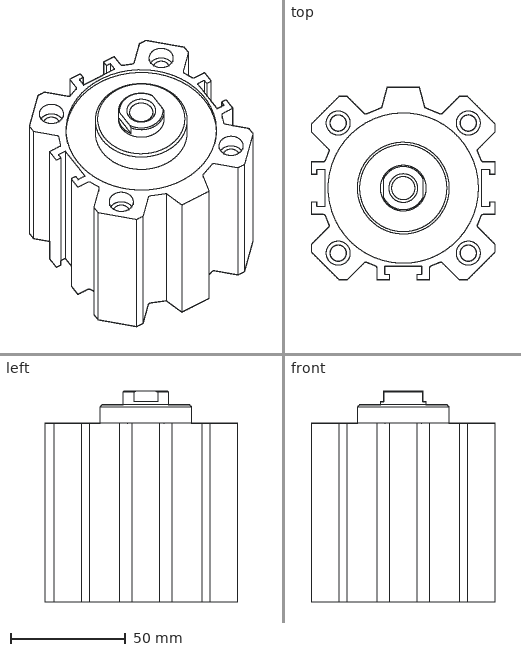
import cadquery as cq
import math

BODY_HEIGHT = 78.0
COLLAR_TOP = 86.0
ROD_TOP = 92.0

HALF_WIDTH = 40.0
LUG_WIDTH = 22.0
LUG_ACROSS_FLATS = 96.05
WEB_ACROSS_FLATS = 72.0
WEB_ANGLE = math.radians(22.5)
WEB_FILLET = 1.0

RAIL_OUTER_WIDTH = 23.0
SLOT_WIDTH = 16.0
SLOT_MOUTH_WIDTH = 12.0
SLOT_FLOOR = 34.1
LIP_THICKNESS = 2.4
RAIL_FILLET = 0.2

SLOTTED_QUARTERS = (1, 2, 3)

BOSS_REACH = 44.0
BOSS_FACE_WIDTH = 14.1
BOSS_TAPER = math.radians(15)

HOLE_SPACING = 56.7
HOLE_DIAMETER = 7.0
COUNTERBORE_DIAMETER = 10.5
COUNTERBORE_DEPTH = 7.0

RECESS_DIAMETER = 65.5
RECESS_DEPTH = 2.0
COLLAR_DIAMETER = 40.0
COLLAR_CHAMFER = 1.0

ROD_DIAMETER = 20.0
ROD_BOTTOM = 10.0
ROD_CHAMFER = 0.55
FLAT_BOTTOM = 87.3
ACROSS_FLATS = 17.0
ROD_HOLE_DIAMETER = 10.1
ROD_HOLE_DEPTH = 20.0
ROD_HOLE_CHAMFER = 1.2


def web_distance(offset):
    """Distance from the centre line to a sloping web face, at an offset along the side."""
    return (WEB_ACROSS_FLATS / 2 - offset * math.sin(WEB_ANGLE)) / math.cos(WEB_ANGLE)


def mirrored(half):
    """Complete a side outline, given as (offset, distance) from its left end to its middle."""
    return half + [(-offset, distance) for offset, distance in reversed(half)]


def lug_corner():
    """Half of a lug, from the middle of its outer face to the foot where it meets the web."""
    flank = LUG_WIDTH / math.sqrt(2)
    outer_sum = LUG_ACROSS_FLATS / math.sqrt(2)
    web_sum = math.cos(WEB_ANGLE) + math.sin(WEB_ANGLE)
    foot = (WEB_ACROSS_FLATS / 2 - flank * math.cos(WEB_ANGLE)) / web_sum
    return [
        (-(outer_sum - HALF_WIDTH), HALF_WIDTH),
        (-(HALF_WIDTH - flank), HALF_WIDTH),
        (-foot, foot + flank),
    ]


def slotted_side():
    """Outline of a side with a T-slot, as (offset, distance) points."""
    rail = RAIL_OUTER_WIDTH / 2
    slot = SLOT_WIDTH / 2
    mouth = SLOT_MOUTH_WIDTH / 2
    lip = HALF_WIDTH - LIP_THICKNESS
    return mirrored(lug_corner() + [
        (-rail, web_distance(rail)),
        (-rail, HALF_WIDTH),
        (-mouth, HALF_WIDTH),
        (-mouth, lip),
        (-slot, lip),
        (-slot, SLOT_FLOOR),
    ])


def boss_side():
    """Outline of the side with the tapered boss, as (offset, distance) points."""
    face = BOSS_FACE_WIDTH / 2
    taper = math.tan(BOSS_TAPER)
    rise = BOSS_REACH - web_distance(face)
    root = face + taper * rise / (1 - taper * math.tan(WEB_ANGLE))
    return mirrored(lug_corner() + [
        (-root, web_distance(root)),
        (-face, BOSS_REACH),
    ])


def turned(points, quarter):
    """Place (offset, distance) points on the +Y side turned clockwise by quarter turns."""
    angle = -quarter * math.pi / 2
    cosine = math.cos(angle)
    sine = math.sin(angle)
    return [(u * cosine - v * sine, u * sine + v * cosine) for u, v in points]


def housing_outline():
    """Clockwise outline of the housing: the +Y boss side, then the slotted sides."""
    points = turned(boss_side(), 0)
    for quarter in SLOTTED_QUARTERS:
        points += turned(slotted_side(), quarter)
    return points


def web_corners():
    """Plan positions where the sloping webs meet the lugs and the rails."""
    foot, foot_distance = lug_corner()[-1]
    rail = -RAIL_OUTER_WIDTH / 2
    rail_distance = web_distance(-rail)
    lug_feet = [p for q in range(4) for p in turned(mirrored([(foot, foot_distance)]), q)]
    rail_feet = [p for q in SLOTTED_QUARTERS for p in turned(mirrored([(rail, rail_distance)]), q)]
    return lug_feet + rail_feet


def rail_edges():
    """Plan positions of the two outer edges of every hooked rail."""
    half = [(-RAIL_OUTER_WIDTH / 2, HALF_WIDTH), (-SLOT_MOUTH_WIDTH / 2, HALF_WIDTH)]
    return [p for q in SLOTTED_QUARTERS for p in turned(mirrored(half), q)]


def make_housing():
    body = cq.Workplane("XY").polyline(housing_outline()).close().extrude(BODY_HEIGHT)

    for x, y in web_corners():
        corner = cq.selectors.NearestToPointSelector((x, y, BODY_HEIGHT / 2))
        body = body.edges("|Z").edges(corner).fillet(WEB_FILLET)

    for x, y in rail_edges():
        edge = cq.selectors.NearestToPointSelector((x, y, BODY_HEIGHT / 2))
        body = body.edges("|Z").edges(edge).fillet(RAIL_FILLET)

    body = (
        body.faces(">Z").workplane(origin=(0, 0, 0))
        .rect(HOLE_SPACING, HOLE_SPACING, forConstruction=True).vertices()
        .cboreHole(HOLE_DIAMETER, COUNTERBORE_DIAMETER, COUNTERBORE_DEPTH)
    )

    recess_floor = BODY_HEIGHT - RECESS_DEPTH
    recess = (
        cq.Workplane("XY").workplane(offset=recess_floor)
        .circle(RECESS_DIAMETER / 2).extrude(RECESS_DEPTH)
    )
    collar = (
        cq.Workplane("XY").workplane(offset=recess_floor)
        .circle(COLLAR_DIAMETER / 2).extrude(COLLAR_TOP - recess_floor)
        .faces(">Z").chamfer(COLLAR_CHAMFER)
    )

    rod_bore = (
        cq.Workplane("XY").workplane(offset=ROD_BOTTOM)
        .circle(ROD_DIAMETER / 2).extrude(ROD_TOP - ROD_BOTTOM)
    )
    return body.cut(recess).union(collar).cut(rod_bore)


def make_rod():
    rod = (
        cq.Workplane("XY").workplane(offset=ROD_BOTTOM)
        .circle(ROD_DIAMETER / 2).extrude(ROD_TOP - ROD_BOTTOM)
        .faces(">Z").chamfer(ROD_CHAMFER)
    )

    flat_height = ROD_TOP - FLAT_BOTTOM
    between_flats = (
        cq.Workplane("XY").workplane(offset=FLAT_BOTTOM)
        .rect(ACROSS_FLATS, ROD_DIAMETER).extrude(flat_height)
    )
    outside_flats = (
        cq.Workplane("XY").workplane(offset=FLAT_BOTTOM)
        .circle(ROD_DIAMETER / 2).extrude(flat_height).cut(between_flats)
    )
    rod = rod.cut(outside_flats)

    mouth_diameter = ROD_HOLE_DIAMETER + 2 * ROD_HOLE_CHAMFER
    return (
        rod.faces(">Z").workplane(origin=(0, 0, 0))
        .cskHole(ROD_HOLE_DIAMETER, mouth_diameter, 90, ROD_HOLE_DEPTH)
    )


housing = make_housing()
rod = make_rod()

result = cq.Compound.makeCompound([housing.val(), rod.val()])